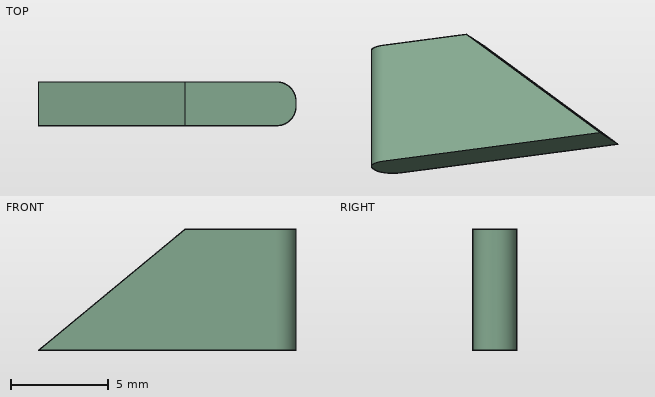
import cadquery as cq

length = 13.18
thickness = 2.25
height = 6.2

ramp_run = 7.5
nose_radius = 1.0


def wedge_body():
    """Plate with a flat base and top, sloping up from a sharp edge at -X."""
    return (
        cq.Workplane("XZ")
        .polyline([(0, 0), (length, 0), (length, height), (ramp_run, height)])
        .close()
        .extrude(thickness / 2, both=True)
    )


def round_nose(body):
    """Round both upright edges of the +X end."""
    return body.faces(">X").edges("|Z").fillet(nose_radius)


result = round_nose(wedge_body())